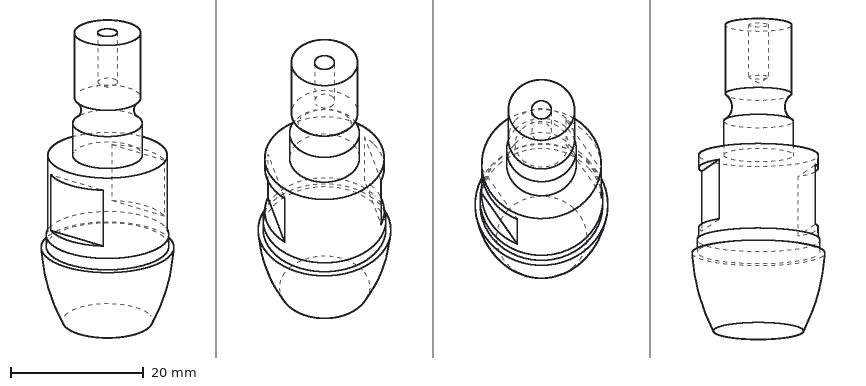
import cadquery as cq
import math

overall_height = 46.95

nose_tip_radius = 6.8
rim_radius = 10.0
rim_bottom = 11.7
rim_top = 12.0
nose_arc_radius = 31.0
collar_radius = 9.25
collar_bottom = 12.15
collar_top = 14.0
barrel_radius = 9.0
barrel_bottom = 14.8
barrel_flare_radius = 1.5
barrel_top = 27.0

across_flats = 15.0
flat_height = 9.1
flat_below_barrel_top = 2.0

shoulder_radius = 5.25
shoulder_height = 5.2
shank_radius = 5.0
groove_arc_radius = 2.5
groove_neck_radius = 4.0

hole_diameter = 3.0
hole_depth = 8.0
drill_tip_angle = 118.0


def make_housing():
    """Turned housing with two wrench flats milled into its barrel."""
    housing = (
        cq.Workplane("XZ")
        .lineTo(nose_tip_radius, 0)
        .radiusArc((rim_radius, rim_bottom), -nose_arc_radius)
        .lineTo(rim_radius, rim_top)
        .lineTo(collar_radius, collar_bottom)
        .lineTo(collar_radius, collar_top)
        .radiusArc((barrel_radius, barrel_bottom), barrel_flare_radius)
        .lineTo(barrel_radius, barrel_top)
        .lineTo(0, barrel_top)
        .close()
        .revolve(360, (0, 0, 0), (0, 1, 0))
    )
    cut_depth = barrel_radius - across_flats / 2
    flat_center_z = barrel_top - flat_below_barrel_top - flat_height / 2
    for side in (-1, 1):
        flat_center_y = side * (across_flats + cut_depth) / 2
        cutter = (
            cq.Workplane("XY")
            .box(2 * barrel_radius, cut_depth, flat_height)
            .translate((0, flat_center_y, flat_center_z))
        )
        housing = housing.cut(cutter)
    return housing


def arc_half_height(offset):
    """Half height of the groove's circle at a radial offset from its center."""
    return math.sqrt(groove_arc_radius**2 - offset**2)


def make_stud():
    """Turned stud with a round groove and a drilled hole in its top end."""
    shoulder_top = barrel_top + shoulder_height
    arc_center_radius = groove_neck_radius + groove_arc_radius
    groove_center_z = shoulder_top + arc_half_height(arc_center_radius - shoulder_radius)
    groove_top = groove_center_z + arc_half_height(arc_center_radius - shank_radius)
    stud = (
        cq.Workplane("XZ")
        .moveTo(0, barrel_top)
        .lineTo(shoulder_radius, barrel_top)
        .lineTo(shoulder_radius, shoulder_top)
        .threePointArc(
            (groove_neck_radius, groove_center_z),
            (shank_radius, groove_top),
        )
        .lineTo(shank_radius, overall_height)
        .lineTo(0, overall_height)
        .close()
        .revolve(360, (0, 0, 0), (0, 1, 0))
    )
    return stud.cut(make_drill())


def make_drill():
    """Volume removed by the drill: a cylinder ending in a conical tip."""
    hole_radius = hole_diameter / 2
    tip_length = hole_radius / math.tan(math.radians(drill_tip_angle / 2))
    hole_bottom = overall_height - hole_depth
    return (
        cq.Workplane("XZ")
        .moveTo(0, overall_height)
        .lineTo(hole_radius, overall_height)
        .lineTo(hole_radius, hole_bottom)
        .lineTo(0, hole_bottom - tip_length)
        .close()
        .revolve(360, (0, 0, 0), (0, 1, 0))
    )


housing = make_housing()
stud = make_stud()

result = cq.Compound.makeCompound([housing.val(), stud.val()])